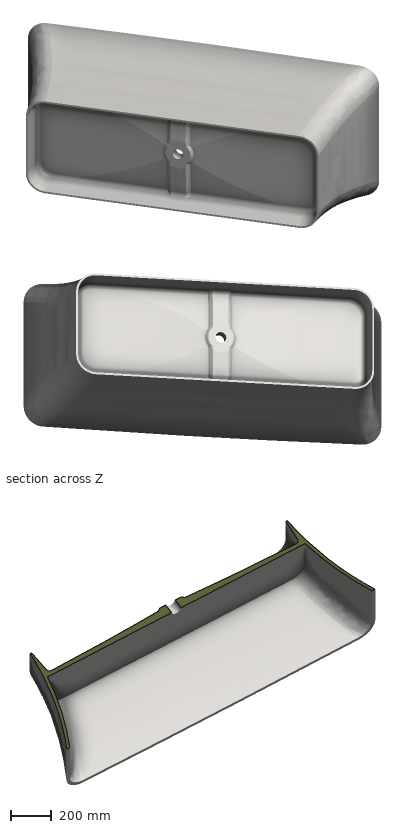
import cadquery as cq
import math

TUB_HEIGHT = 580.0
CORNER_RADIUS = 100.0
SECTION_COUNT = 5

HALF_LENGTHS = (750.0, 796.0, 900.0)
HALF_WIDTHS = (260.0, 299.0, 368.0)
RIM_WIDTH_AT_MIDDLE = 748.22
RIM_BOW = RIM_WIDTH_AT_MIDDLE / 2 - HALF_WIDTHS[2]
FOOT_BOW = 0.01

FOOT_WALL = 10.0
RECESS_HALF_LENGTH = HALF_LENGTHS[0] - FOOT_WALL
RECESS_HALF_WIDTH = HALF_WIDTHS[0] - FOOT_WALL
RECESS_CORNER_RADIUS = CORNER_RADIUS - FOOT_WALL
RECESS_DRAFT = math.tan(math.radians(4))
RECESS_FILLET = 20.0

FLOOR_DEPTH = 116.0
FLOOR_FALL = 21.0
CREASE_END_X = 512.0
CREASE_END_Z = 220.0
END_FLOOR_BULGE = 0.11
SIDE_FLOOR_REACH = 600.0

RIB_HEIGHT = 15.0
RIB_FACE_HALF_WIDTH = 39.0
RIB_FOOT_HALF_WIDTH = 59.0
BOSS_FACE_DEPTH = 108.5
BOSS_FACE_RADIUS = 64.0
BOSS_FOOT_RADIUS = 78.0
BOSS_HEIGHT = 12.0
BOSS_ROOT = 15.0
DRAIN_DIAMETER = 54.0

BASIN_WALL = 20.0
BASIN_FLOOR_HEIGHT = 165.0


def flared_half_size(sizes, height):
    """Half size at a height, on the arc through the sizes at the foot, half height and rim."""
    foot, middle, rim = sizes
    flare = rim - foot
    chord = math.hypot(TUB_HEIGHT, flare)
    sag = ((foot + rim) / 2 - middle) * TUB_HEIGHT / chord
    radius = (chord**2 / 4 + sag**2) / (2 * sag)
    centre_height = TUB_HEIGHT / 2 - (radius - sag) * flare / chord
    centre_size = (foot + rim) / 2 + (radius - sag) * TUB_HEIGHT / chord
    return centre_size - math.sqrt(radius**2 - (height - centre_height) ** 2)


def wall_outline(height, inset):
    """Rounded rectangle with bulging long sides, set in from the outer wall at a height."""
    half_length = flared_half_size(HALF_LENGTHS, height) - inset
    half_width = flared_half_size(HALF_WIDTHS, height) - inset
    radius = CORNER_RADIUS - inset
    bow_width = half_width + FOOT_BOW + (RIM_BOW - FOOT_BOW) * height / TUB_HEIGHT
    flat_x = half_length - radius
    flat_z = half_width - radius
    arc_x = flat_x + radius * math.sqrt(0.5)
    arc_z = flat_z + radius * math.sqrt(0.5)
    outline = (
        cq.Workplane("XZ", origin=(0, height, 0))
        .moveTo(-flat_x, -half_width)
        .threePointArc((0, -bow_width), (flat_x, -half_width))
        .threePointArc((arc_x, -arc_z), (half_length, -flat_z))
        .lineTo(half_length, flat_z)
        .threePointArc((arc_x, arc_z), (flat_x, half_width))
        .threePointArc((0, bow_width), (-flat_x, half_width))
        .threePointArc((-arc_x, arc_z), (-half_length, flat_z))
        .lineTo(-half_length, -flat_z)
        .threePointArc((-arc_x, -arc_z), (-flat_x, -half_width))
        .close()
    )
    return outline.val()


def flared_body(start_height, inset):
    """Flared solid from a height up to the rim, set in from the outer wall."""
    step = (TUB_HEIGHT - start_height) / (SECTION_COUNT - 1)
    outlines = [wall_outline(start_height + index * step, inset) for index in range(SECTION_COUNT)]
    return cq.Workplane(cq.Solid.makeLoft(outlines))


def recess_outline(depth):
    """Rounded outline of the drafted recess walls at a depth."""
    inset = depth * RECESS_DRAFT
    outline = cq.Sketch().rect(2 * (RECESS_HALF_LENGTH - inset), 2 * (RECESS_HALF_WIDTH - inset))
    outline = outline.vertices().fillet(RECESS_CORNER_RADIUS - inset)
    return outline.moved(cq.Location(cq.Vector(0, 0, -depth)))


def end_floor_depth(x):
    """Depth of the end floor, a shallow parabola from the drain towards the end wall."""
    share = x / CREASE_END_X
    return FLOOR_DEPTH + FLOOR_FALL * (share + 4 * END_FLOOR_BULGE * share * (1 - share))


def end_recess():
    """Recess space at the +X end, from the foot of the rib to the end wall."""
    walls = cq.Workplane("XZ").placeSketch(recess_outline(0), recess_outline(2 * FLOOR_DEPTH)).loft()
    near_x = RIB_FOOT_HALF_WIDTH
    far_x = RECESS_HALF_LENGTH
    middle_x = (near_x + far_x) / 2
    below_floor = (
        cq.Workplane("XY", origin=(0, 0, -RECESS_HALF_WIDTH))
        .moveTo(near_x, 0)
        .lineTo(far_x, 0)
        .lineTo(far_x, end_floor_depth(far_x))
        .threePointArc((middle_x, end_floor_depth(middle_x)), (near_x, end_floor_depth(near_x)))
        .close()
        .extrude(2 * RECESS_HALF_WIDTH)
    )
    space = walls.intersect(below_floor)
    return space.faces(">Y").edges("not(<X)").fillet(RECESS_FILLET)


def side_section(x, middle_depth):
    """Section of the recess across the side floors, with filleted feet of the walls."""
    slope = FLOOR_FALL / CREASE_END_Z
    corner_z = (RECESS_HALF_WIDTH - middle_depth * RECESS_DRAFT) / (1 + slope * RECESS_DRAFT)
    corner_depth = middle_depth + slope * corner_z
    outline = [
        (0, -RECESS_HALF_WIDTH),
        (corner_depth, -corner_z),
        (middle_depth, 0),
        (corner_depth, corner_z),
        (0, RECESS_HALF_WIDTH),
        (0, -RECESS_HALF_WIDTH),
    ]
    section = cq.Sketch().polygon(outline).vertices(">X").fillet(RECESS_FILLET)
    return section.moved(cq.Location(cq.Vector(0, 0, x)))


def side_recess():
    """Recess space along the side floors, stepped over the sloped flanks of the rib."""
    rib_depth = FLOOR_DEPTH - RIB_HEIGHT
    stations = [
        (-SIDE_FLOOR_REACH, FLOOR_DEPTH),
        (-RIB_FOOT_HALF_WIDTH, FLOOR_DEPTH),
        (-RIB_FACE_HALF_WIDTH, rib_depth),
        (RIB_FACE_HALF_WIDTH, rib_depth),
        (RIB_FOOT_HALF_WIDTH, FLOOR_DEPTH),
        (SIDE_FLOOR_REACH, FLOOR_DEPTH),
    ]
    sections = [side_section(x, depth) for x, depth in stations]
    return cq.Workplane("YZ").placeSketch(*sections).loft(ruled=True)


def drain_boss():
    """Round boss with a sloped flank, buried in the floor."""
    flank = (
        cq.Workplane("XZ", origin=(0, BOSS_FACE_DEPTH, 0))
        .circle(BOSS_FACE_RADIUS)
        .workplane(offset=-BOSS_HEIGHT)
        .circle(BOSS_FOOT_RADIUS)
        .loft()
    )
    root = cq.Workplane("XZ", origin=(0, BOSS_FACE_DEPTH + BOSS_HEIGHT, 0))
    return flank.union(root.circle(BOSS_FOOT_RADIUS).extrude(-BOSS_ROOT))


def recess():
    """Whole space under the tub, with the rib and the drain boss left standing."""
    boss = drain_boss()
    end = end_recess().cut(boss)
    boss_spotface = cq.Workplane("XZ").circle(BOSS_FOOT_RADIUS).extrude(-BOSS_FACE_DEPTH)
    side = side_recess().cut(boss).union(boss_spotface)
    return side.union(end).union(end.mirror("YZ"))


body = flared_body(0, 0)
basin = flared_body(BASIN_FLOOR_HEIGHT, BASIN_WALL)
drain = cq.Workplane("XZ").circle(DRAIN_DIAMETER / 2).extrude(-TUB_HEIGHT)
result = body.cut(basin).cut(recess()).cut(drain)